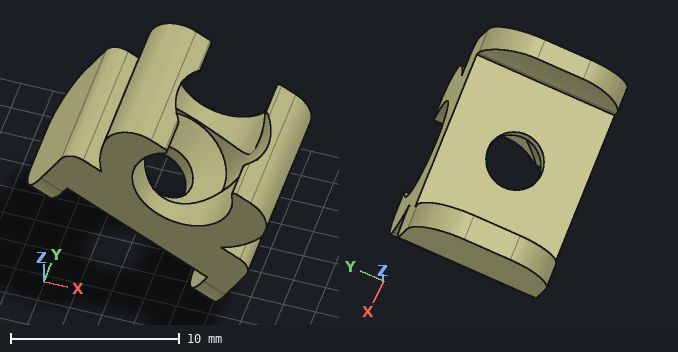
import cadquery as cq
import math

width = 9.0
tilt = 30.0

base_half = 6.62
base_top = -2.59
base_bottom = -5.6
flange_thickness = 1.6
flange_bottom = -9.08
flange_corner_radius = 3.0
shoulder_radius = 1.0
flange_relief = 0.31

bore_radius = 3.1
clip_top = 2.3
tip_radius = 0.2
crown_radius = 1.98
crown_x = 3.56
clip_back_center_z = 1.02

hole_diameter = 3.5
head_radius = 3.21
countersink_top = -3.24
countersink_bottom = -4.68


def extruded(sketch):
    """Extrude an XZ outline over the full width, centred on Y."""
    return sketch.close().extrude(width / 2, both=True)


def make_base():
    inner_half = base_half - flange_thickness
    outline = (
        cq.Workplane("XZ")
        .moveTo(-base_half, flange_bottom)
        .lineTo(-base_half, base_top)
        .lineTo(base_half, base_top)
        .lineTo(base_half, flange_bottom)
        .lineTo(inner_half, flange_bottom)
        .lineTo(inner_half, base_bottom)
        .lineTo(-inner_half, base_bottom)
        .lineTo(-inner_half, flange_bottom + flange_corner_radius)
        .tangentArcPoint((-inner_half - flange_relief, flange_bottom), relative=False)
    )
    base = extruded(outline)
    base = base.edges("|Y and >Z").fillet(shoulder_radius)
    return base.edges("|X and <Z").edges("<Y or >Y").fillet(flange_corner_radius)


def make_clip():
    crown_z = clip_top - crown_radius
    center_drop = crown_z - clip_back_center_z
    center_distance = math.hypot(crown_x, center_drop)
    back_radius = center_distance + crown_radius
    join_x = crown_x * back_radius / center_distance
    join_z = clip_back_center_z + center_drop * back_radius / center_distance
    tip_z = clip_top - tip_radius
    tip_x = math.sqrt((bore_radius + tip_radius) ** 2 - tip_z**2)
    touch_ratio = bore_radius / (bore_radius + tip_radius)
    touch_x = tip_x * touch_ratio
    touch_z = tip_z * touch_ratio
    outline = (
        cq.Workplane("XZ")
        .moveTo(tip_x, clip_top)
        .lineTo(crown_x, clip_top)
        .tangentArcPoint((join_x, join_z), relative=False)
        .threePointArc((0, clip_back_center_z - back_radius), (-join_x, join_z))
        .tangentArcPoint((-crown_x, clip_top), relative=False)
        .lineTo(-tip_x, clip_top)
        .tangentArcPoint((-touch_x, touch_z), relative=False)
        .threePointArc((0, -bore_radius), (touch_x, touch_z))
        .tangentArcPoint((tip_x, clip_top), relative=False)
    )
    return extruded(outline)


def make_screw_cutter():
    hole_radius = hole_diameter / 2
    return (
        cq.Workplane("XZ")
        .moveTo(0, flange_bottom)
        .lineTo(hole_radius, flange_bottom)
        .lineTo(hole_radius, countersink_bottom)
        .lineTo(head_radius, countersink_top)
        .lineTo(head_radius, clip_top)
        .lineTo(0, clip_top)
        .close()
        .revolve(360, (0, 0, 0), (0, 1, 0))
    )


def make_bore():
    return cq.Workplane("XZ").circle(bore_radius).extrude(width / 2, both=True)


body = make_base().cut(make_bore()).union(make_clip()).cut(make_screw_cutter())
result = body.rotate((0, 0, 0), (0, 1, 0), tilt)